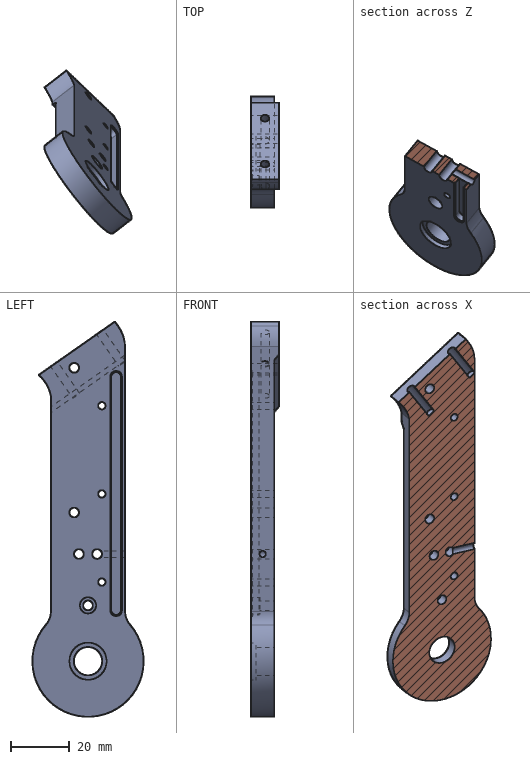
import cadquery as cq
import math

plate_thickness = 8.0
head_thickness = 9.6
total_height = 134.8
disk_radius = 19.0
arm_half_width = 12.7
neck_radius = 7.0
top_z = total_height - disk_radius

head_slope = math.radians(35)
tip_y = -9.2
low_tip_y = 16.9
shoulder_end = (-10.2, 114.4)
shoulder_mid = (-12.0, 111.0)
shoulder_base_z = 107.3
low_shoulder_mid = (14.4, 94.8)
low_shoulder_base_z = 90.3
pad_length = 11.2
pad_rise = head_thickness - plate_thickness

mount_hole_diameter = 3.2
pair_z = 36.5
pair_y = 3.1
mount_holes = [(4.7, 100.0), (4.7, 50.7), (pair_y, pair_z), (-pair_y, pair_z)]
pin_hole_diameter = 2.4
pin_y = -4.7
pin_first_z = 27.0
pin_pitch = 30.1
pin_holes = [(pin_y, pin_first_z + i * pin_pitch) for i in range(3)]

pivot_bore_diameter = 9.6
pivot_counterbore_diameter = 12.7
pivot_counterbore_depth = 1.6
stop_z = 19.0
stop_counterbore_diameter = 5.5
stop_counterbore_depth = 3.0

groove_y = -9.6
groove_bottom_z = 15.4
groove_top_z = 99.0
groove_width = 4.0
groove_step_depth = 0.4
groove_inner_width = 3.2
groove_depth = 2.7

end_hole_diameter = 2.8
end_hole_depth = 13.1
end_hole_ys = (-4.0, 11.6)
side_hole_diameter = 2.2


def end_face_z(y):
    """Height of the sloped end face at a given Y."""
    return top_z - (y - tip_y) * math.tan(head_slope)


def disk_point(y):
    """Point of the upper half of the disk at a given Y."""
    return (y, math.sqrt(disk_radius**2 - y**2))


def outline():
    """Side profile: disk, filleted neck, straight arm and sloped head."""
    neck_y = arm_half_width + neck_radius
    neck_z = math.sqrt((disk_radius + neck_radius) ** 2 - neck_y**2)
    join_y = neck_y * disk_radius / (disk_radius + neck_radius)
    join_angle = math.atan2(neck_z, neck_y)
    mid_angle = join_angle / 2
    neck_mid_y = neck_y - neck_radius * math.cos(mid_angle)
    neck_mid_z = neck_z - neck_radius * math.sin(mid_angle)
    return (
        cq.Workplane("YZ")
        .moveTo(tip_y, top_z)
        .lineTo(*shoulder_end)
        .threePointArc(shoulder_mid, (-arm_half_width, shoulder_base_z))
        .lineTo(-arm_half_width, neck_z)
        .threePointArc((-neck_mid_y, neck_mid_z), disk_point(-join_y))
        .threePointArc((0, -disk_radius), disk_point(join_y))
        .threePointArc((neck_mid_y, neck_mid_z), (arm_half_width, neck_z))
        .lineTo(arm_half_width, low_shoulder_base_z)
        .threePointArc(low_shoulder_mid, (low_tip_y, end_face_z(low_tip_y)))
        .close()
    )


def pad_relief():
    """Cutter thinning everything below the head pad, with a 45 degree flank parallel to the end face."""
    reach = total_height
    face_plane = cq.Plane(
        origin=(0, tip_y, top_z),
        xDir=(0, -math.sin(head_slope), -math.cos(head_slope)),
        normal=(0, -math.cos(head_slope), math.sin(head_slope)),
    )
    return (
        cq.Workplane(face_plane)
        .polyline([
            (pad_length, head_thickness),
            (pad_length + pad_rise, plate_thickness),
            (pad_length + reach, plate_thickness),
            (pad_length + reach, head_thickness),
        ])
        .close()
        .extrude(reach, both=True)
    )


def through_holes(points, diameter):
    return cq.Workplane("YZ").pushPoints(points).circle(diameter / 2).extrude(head_thickness)


def counterbored_hole(z, diameter, bore_diameter, bore_depth):
    bore = cq.Workplane("YZ").center(0, z).circle(bore_diameter / 2).extrude(bore_depth)
    return through_holes([(0, z)], diameter).union(bore)


def groove_slot(width, depth):
    """Round-ended slot; both groove widths share the same end centres."""
    length = groove_top_z - groove_bottom_z - groove_width + width
    middle_z = (groove_top_z + groove_bottom_z) / 2
    return cq.Workplane("YZ").center(groove_y, middle_z).slot2D(length, width, 90).extrude(depth)


def end_hole(y):
    """Blind hole drilled square to the sloped end face."""
    start = cq.Vector(head_thickness / 2, y, end_face_z(y))
    direction = cq.Vector(0, -math.sin(head_slope), -math.cos(head_slope))
    return cq.Workplane(cq.Solid.makeCylinder(end_hole_diameter / 2, end_hole_depth, start, direction))


def side_hole():
    """Cross hole from the -Y edge to the nearer hole of the pair."""
    start = cq.Vector(plate_thickness / 2, -arm_half_width, pair_z)
    length = arm_half_width - pair_y
    return cq.Workplane(cq.Solid.makeCylinder(side_hole_diameter / 2, length, start, cq.Vector(0, 1, 0)))


result = outline().extrude(head_thickness).cut(pad_relief())
result = result.cut(through_holes(mount_holes, mount_hole_diameter))
result = result.cut(through_holes(pin_holes, pin_hole_diameter))
result = result.cut(
    counterbored_hole(0, pivot_bore_diameter, pivot_counterbore_diameter, pivot_counterbore_depth)
)
result = result.cut(
    counterbored_hole(stop_z, mount_hole_diameter, stop_counterbore_diameter, stop_counterbore_depth)
)
result = result.cut(groove_slot(groove_width, groove_step_depth))
result = result.cut(groove_slot(groove_inner_width, groove_depth))
for hole_y in end_hole_ys:
    result = result.cut(end_hole(hole_y))
result = result.cut(side_hole())